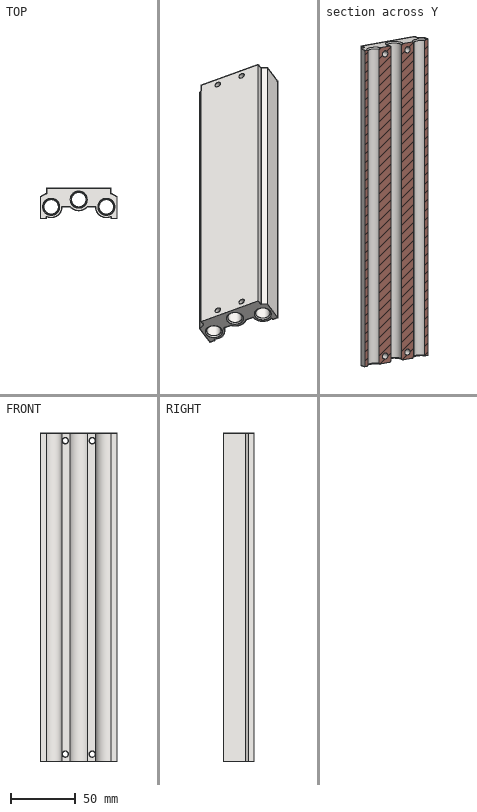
import cadquery as cq
import math

length = 253.0
width = 59.0
depth = 23.5

back_width = 49.5
back_step = 4.3
ledge_width = 0.8
shoulder_angle = 30.0
web_thickness = 14.5
foot_width = 4.5

channel_spacing = 21.3
middle_channel_depth = 8.9
side_channel_depth = 14.5
middle_wall_radius = 8.5
side_wall_radius = 8.3
bore_radius = 5.5
mouth_radius = 6.5
mouth_chamfer = mouth_radius - bore_radius

mount_spacing = 20.7
mount_diameter = 4.5
mount_inset = 5.8

back_y = depth / 2
front_y = -depth / 2
ledge_x = back_width / 2 + ledge_width
shoulder_run = width / 2 - ledge_x
shoulder_drop = shoulder_run * math.tan(math.radians(shoulder_angle))
web_y = back_y - web_thickness
side_channel_y = back_y - side_channel_depth
side_centers = [(-channel_spacing, side_channel_y), (channel_spacing, side_channel_y)]
middle_center = (0, back_y - middle_channel_depth)


def make_plate():
    """Plate with a raised back and sloping shoulders, from its back down to the web face."""
    right_edge = [
        (back_width / 2, back_y),
        (back_width / 2, back_y - back_step),
        (ledge_x, back_y - back_step),
        (width / 2, back_y - back_step - shoulder_drop),
        (width / 2, web_y),
    ]
    left_edge = [(-x, y) for x, y in reversed(right_edge)]
    return cq.Workplane("XY").polyline(right_edge + left_edge).close().extrude(length)


def make_foot(side):
    """Strip along one front edge; side is -1 or 1."""
    foot_x = side * (width - foot_width) / 2
    foot_height = web_y - front_y
    return (
        cq.Workplane("XY")
        .center(foot_x, front_y + foot_height / 2)
        .rect(foot_width, foot_height)
        .extrude(length)
    )


def make_channel_walls():
    """Round walls of the three channels, cut flush with the outer sides of the part."""
    side_walls = cq.Workplane("XY").pushPoints(side_centers).circle(side_wall_radius).extrude(length)
    middle_wall = cq.Workplane("XY").center(*middle_center).circle(middle_wall_radius).extrude(length)
    envelope = cq.Workplane("XY").rect(width, depth).extrude(length)
    return side_walls.union(middle_wall).intersect(envelope)


def make_bore(center):
    """Through bore with a chamfered mouth at both ends."""
    x, y = center
    half_profile = [
        (0, 0),
        (mouth_radius, 0),
        (bore_radius, mouth_chamfer),
        (bore_radius, length - mouth_chamfer),
        (mouth_radius, length),
        (0, length),
    ]
    bore = cq.Workplane("XZ").polyline(half_profile).close().revolve(360, (0, 0), (0, 1))
    return bore.translate((x, y, 0))


def make_mounting_holes():
    """Four holes through the plate along Y, a pair near each end."""
    return (
        cq.Workplane("XZ", origin=(0, back_y, length / 2))
        .rect(mount_spacing, length - 2 * mount_inset, forConstruction=True)
        .vertices()
        .circle(mount_diameter / 2)
        .extrude(depth)
    )


body = make_plate()
for side in (-1, 1):
    body = body.union(make_foot(side))

body = body.union(make_channel_walls()).clean()

for center in side_centers + [middle_center]:
    body = body.cut(make_bore(center))

result = body.cut(make_mounting_holes()).translate((0, 0, -length / 2))